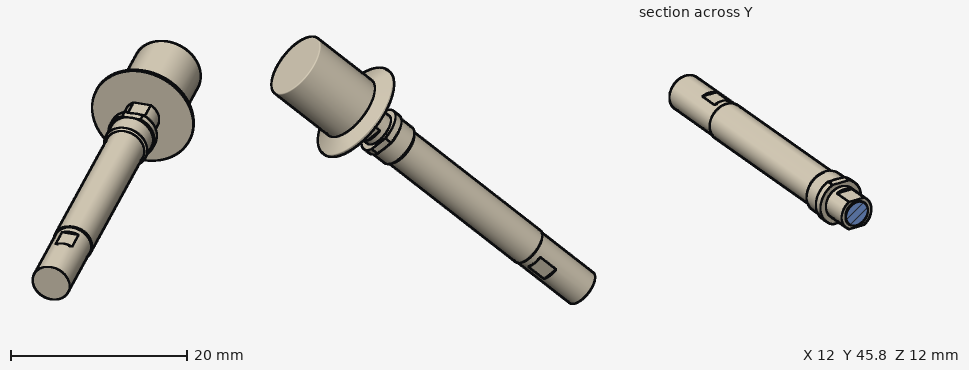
import cadquery as cq

SHAFT_SHOULDER_Y = 8.47
COLLAR_Y = 29.05
BAND_Y = 31.55
NECK_Y = 32.5
NECK_END_Y = 35.8
FLANGE_Y = 35.95
FLANGE_RIM_Y = 36.3
HEAD_Y = 37.05
TOTAL_LENGTH = 45.8

TIP_RADIUS = 2.2
SHAFT_RADIUS = 2.3
COLLAR_RADIUS = 2.55
BAND_RADIUS = 2.75
NECK_RADIUS = 2.0
NECK_RELIEF_RADIUS = 1.5
FLANGE_RADIUS = 6.0
HEAD_RADIUS = 4.0

SHAFT_BEVEL = SHAFT_RADIUS - TIP_RADIUS
COLLAR_BEVEL = COLLAR_RADIUS - SHAFT_RADIUS
FLANGE_ROUND = 0.15
HEAD_ROUND = 0.15

WRENCH_FLAT_LENGTH = 2.5
NECK_FLAT_HEIGHT = 1.75
TIP_FLAT_Y = 5.05
TIP_FLAT_HEIGHT = 1.95
BAND_FLAT_HEIGHT = 2.5


def turned_body():
    """Revolve the half profile (radius, station) about the Y axis, then round the flange rim and head."""
    profile = [
        (0, 0),
        (TIP_RADIUS, 0),
        (TIP_RADIUS, SHAFT_SHOULDER_Y),
        (SHAFT_RADIUS, SHAFT_SHOULDER_Y + SHAFT_BEVEL),
        (SHAFT_RADIUS, COLLAR_Y),
        (COLLAR_RADIUS, COLLAR_Y + COLLAR_BEVEL),
        (COLLAR_RADIUS, BAND_Y),
        (BAND_RADIUS, BAND_Y),
        (BAND_RADIUS, NECK_Y),
        (NECK_RADIUS, NECK_Y),
        (NECK_RADIUS, NECK_END_Y),
        (NECK_RELIEF_RADIUS, NECK_END_Y),
        (NECK_RELIEF_RADIUS, FLANGE_Y),
        (FLANGE_RADIUS, FLANGE_Y),
        (FLANGE_RADIUS, FLANGE_RIM_Y),
        (HEAD_RADIUS, HEAD_Y),
        (HEAD_RADIUS, TOTAL_LENGTH),
        (0, TOTAL_LENGTH),
    ]
    body = cq.Workplane("XY").polyline(profile).close().revolve(360, (0, 0, 0), (0, 1, 0))
    largest_circles = body.edges("%CIRCLE").edges(cq.selectors.RadiusNthSelector(-1))
    body = largest_circles.edges(">Y").fillet(FLANGE_ROUND)
    return body.faces(">Y").edges().fillet(HEAD_ROUND)


def cut_flats(body, start_y, length, flat_height, section_radius):
    """Cut a pair of opposite flats at Z = +/-flat_height into one turned section."""
    width = 2 * section_radius
    depth = section_radius - flat_height
    middle_y = start_y + length / 2
    middle_z = flat_height + depth / 2
    for side in (1, -1):
        cutter = cq.Workplane("XY").box(width, length, depth).translate((0, middle_y, side * middle_z))
        body = body.cut(cutter)
    return body


neck_flat_y = NECK_END_Y - WRENCH_FLAT_LENGTH
band_length = NECK_Y - BAND_Y

result = turned_body()
result = cut_flats(result, TIP_FLAT_Y, WRENCH_FLAT_LENGTH, TIP_FLAT_HEIGHT, TIP_RADIUS)
result = cut_flats(result, neck_flat_y, WRENCH_FLAT_LENGTH, NECK_FLAT_HEIGHT, NECK_RADIUS)
result = cut_flats(result, BAND_Y, band_length, BAND_FLAT_HEIGHT, BAND_RADIUS)